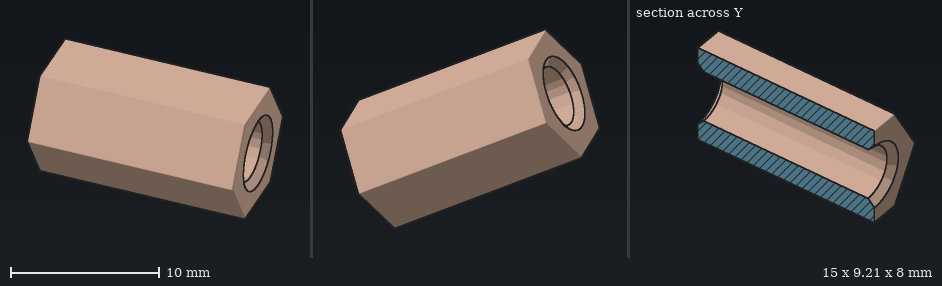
import cadquery as cq
import math

length = 15.0
across_flats = 8.0
edge_radius = 0.1

bore_diameter = 4.2
lead_in_diameter = 5.3
lead_in_depth = (lead_in_diameter - bore_diameter) / 2


def hexagonal_body():
    across_corners = across_flats / math.cos(math.pi / 6)
    hexagon = cq.Workplane("YZ").polygon(6, across_corners)
    return hexagon.extrude(length / 2, both=True).edges().fillet(edge_radius)


def bore_with_lead_ins():
    bore_radius = bore_diameter / 2
    lead_in_radius = lead_in_diameter / 2
    half_length = length / 2
    straight_half = half_length - lead_in_depth
    profile = [
        (-half_length, 0),
        (-half_length, lead_in_radius),
        (-straight_half, bore_radius),
        (straight_half, bore_radius),
        (half_length, lead_in_radius),
        (half_length, 0),
    ]
    return cq.Workplane("XY").polyline(profile).close().revolve(360, (0, 0, 0), (1, 0, 0))


result = hexagonal_body().cut(bore_with_lead_ins())